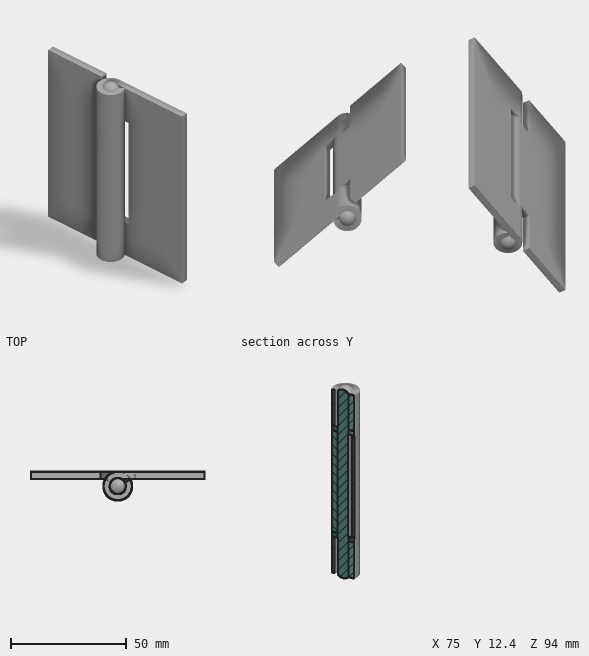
import cadquery as cq
import math

overall_width = 75.0
overall_height = 94.0
leaf_height = 90.05
leaf_thickness = 3.2
knuckle_radius = 6.2
pin_radius = 3.5
middle_knuckle_length = 50.0
washer_thickness = 2.2
notch_reach = 7.5
curl_end_angle = 28.0

leaf_reach = overall_width / 2
leaf_inner_y = knuckle_radius - leaf_thickness
dome_height = (overall_height - leaf_height) / 2
half_leaf = leaf_height / 2
half_middle = middle_knuckle_length / 2
half_outer_gap = half_middle + washer_thickness
outer_knuckle_length = half_leaf - half_outer_gap


def polar(radius, degrees):
    """Point at a given radius and angle about the pin axis."""
    angle = math.radians(degrees)
    return (radius * math.cos(angle), radius * math.sin(angle))


def rolled_strip(bottom_z, length):
    """Knuckle curled around the pin, with its flat tail along +X."""
    tail_start_x = math.sqrt(pin_radius**2 - leaf_inner_y**2)
    lower_quarter = 270.0
    inner_mid_angle = 180.0
    return (
        cq.Workplane("XY", origin=(0, 0, bottom_z))
        .moveTo(notch_reach, knuckle_radius)
        .lineTo(0, knuckle_radius)
        .threePointArc(polar(knuckle_radius, lower_quarter), polar(knuckle_radius, curl_end_angle))
        .lineTo(*polar(pin_radius, curl_end_angle))
        .threePointArc(polar(pin_radius, inner_mid_angle), (tail_start_x, leaf_inner_y))
        .lineTo(notch_reach, leaf_inner_y)
        .close()
        .extrude(length)
    )


def flat_plate():
    """Flat part of a leaf on the +X side, outside the notches."""
    return cq.Workplane("XY").box(
        leaf_reach - notch_reach, leaf_thickness, leaf_height, centered=(False, False, True)
    ).translate((notch_reach, leaf_inner_y, 0))


def make_outer_leaf():
    """Leaf on the +X side with a knuckle at each end."""
    leaf = flat_plate()
    for bottom_z in (-half_leaf, half_outer_gap):
        leaf = leaf.union(rolled_strip(bottom_z, outer_knuckle_length))
    return leaf


def make_middle_leaf():
    """Leaf on the -X side with one long middle knuckle."""
    leaf = flat_plate().union(rolled_strip(-half_middle, middle_knuckle_length))
    return leaf.mirror("YZ")


def make_washer(bottom_z):
    """Ring filling the gap between two neighbouring knuckles."""
    return (
        cq.Workplane("XY", origin=(0, 0, bottom_z))
        .circle(knuckle_radius)
        .circle(pin_radius)
        .extrude(washer_thickness)
    )


def make_pin():
    """Straight pin with a spherical cap standing proud at each end."""
    dome_radius = (pin_radius**2 + dome_height**2) / (2 * dome_height)
    dome_centre_z = overall_height / 2 - dome_radius
    dome_mid_x = dome_radius * math.sin(math.asin(pin_radius / dome_radius) / 2)
    dome_mid_z = dome_centre_z + math.sqrt(dome_radius**2 - dome_mid_x**2)
    return (
        cq.Workplane("XZ")
        .moveTo(0, -overall_height / 2)
        .threePointArc((dome_mid_x, -dome_mid_z), (pin_radius, -half_leaf))
        .lineTo(pin_radius, half_leaf)
        .threePointArc((dome_mid_x, dome_mid_z), (0, overall_height / 2))
        .close()
        .revolve(360, (0, 0, 0), (0, 1, 0))
    )


outer_leaf = make_outer_leaf()
middle_leaf = make_middle_leaf()
washers = [make_washer(bottom_z) for bottom_z in (-half_outer_gap, half_middle)]
pin = make_pin()

result = cq.Compound.makeCompound(
    [outer_leaf.val(), middle_leaf.val(), *[washer.val() for washer in washers], pin.val()]
)